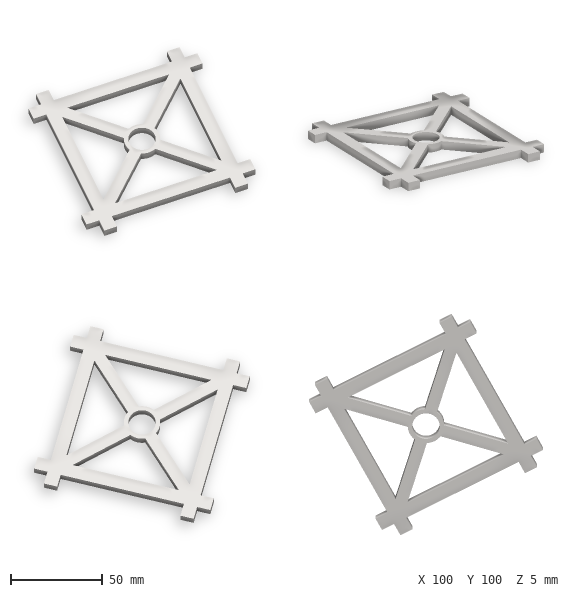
import cadquery as cq

overall_size = 100.0
thickness = 5.0
bar_width = 7.5
end_overhang = 7.5
brace_width = 6.8
hub_diameter = 20.0
bore_diameter = 15.0

bar_offset = overall_size / 2 - end_overhang - bar_width / 2
brace_length = 2 * bar_offset * 2**0.5


def plate(length, width):
    """Centred flat strip running along X, standing on Z = 0."""
    return cq.Workplane("XY").rect(length, width).extrude(thickness)


hub = cq.Workplane("XY").circle(hub_diameter / 2).extrude(thickness)
body = hub
for side in (-1, 1):
    bar = plate(overall_size, bar_width).translate((0, side * bar_offset, 0))
    body = body.union(bar)
    body = body.union(bar.rotate((0, 0, 0), (0, 0, 1), 90))

for angle in (45, -45):
    brace = plate(brace_length, brace_width).rotate((0, 0, 0), (0, 0, 1), angle)
    body = body.union(brace)

bore = cq.Workplane("XY").circle(bore_diameter / 2).extrude(thickness)
result = body.cut(bore).clean()